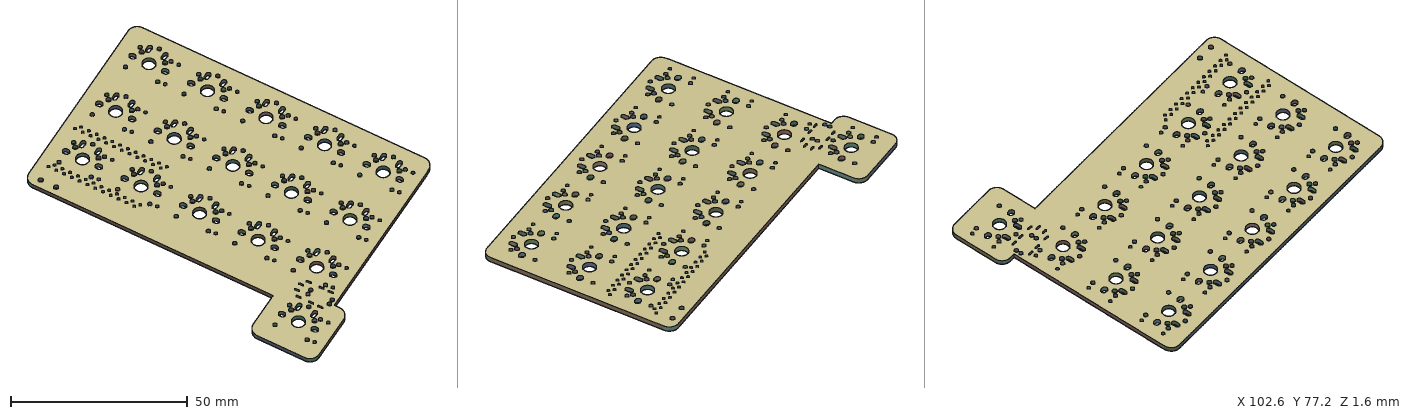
import cadquery as cq
import math

overall_width = 102.6
overall_depth = 77.2
thickness = 1.6
main_width = 97.8
main_depth = 62.9
tab_width = 21.4
tab_height = 20.0
corner_radius = 3.0
lean_inset = 0.1
lean_end_drop = 4.5

key_columns = 5
key_rows = 3
key_span = 76.2
key_pitch = key_span / (key_columns - 1)
first_key_x = 10.8
top_key_drop = 10.0
top_key_y = overall_depth - top_key_drop
thumb_key_x = overall_width - tab_width / 2
thumb_key_y = tab_height / 2

stem_diameter = 4.0
side_diameter = 1.7
side_length = 2.2
side_x = 5.3
top_pin_diameter = 1.2
top_pin_y = 5.9
outer_pin_diameter = 1.2
outer_pin_x = 5.0
outer_pin_y = 3.8
inner_pin_diameter = 1.4
inner_pin_x = 3.8
inner_pin_y = 2.6
slot_width = 1.4
slot_length = 2.6
slot_x = 2.6
slot_y = 4.5
anchor_diameter = 1.2
anchor_x = 5.2
anchor_y = -4.2
diode_diameter = 1.0
diode_x = 7.5
diode_y = 3.9

controller_diameter = 0.81
controller_pins = 12
controller_length = 27.9
controller_pitch = controller_length / (controller_pins - 1)
controller_row_gaps = 6
controller_row_spacing = controller_row_gaps * controller_pitch
controller_x = 3.7
controller_y = 22.0
controller_stagger = controller_pitch / 2

wire_diameter = 1.4
wire_x = 4.1
wire_y = 16.9
wire_spacing = 5.0

jack_y = 20.5
jack_slot_length = 1.6
jack_slot_width = 0.5
jack_outer_slots_x = (87.6, 91.7, 94.7)
jack_outer_offset = 3.0
jack_inner_slot_x = 86.0
jack_inner_offset = 1.1
peg_diameter = 1.2
pegs_x = (89.4, 96.4)
peg_offset = 0.8


def draw_outline():
    diagonal = corner_radius * (1 - math.sqrt(0.5))
    tab_left = overall_width - tab_width
    main_bottom = overall_depth - main_depth
    lean_x = main_width - lean_inset

    def round_to(outline, corner_x, corner_y, inward_x, inward_y, end):
        middle = (corner_x + inward_x * diagonal, corner_y + inward_y * diagonal)
        return outline.threePointArc(middle, end)

    r = corner_radius
    top, right = overall_depth, overall_width
    outline = cq.Workplane("XY").moveTo(r, main_bottom).lineTo(tab_left, main_bottom).lineTo(tab_left, r)
    outline = round_to(outline, tab_left, 0, 1, 1, (tab_left + r, 0)).lineTo(right - r, 0)
    outline = round_to(outline, right, 0, -1, 1, (right, r)).lineTo(right, tab_height - r)
    outline = round_to(outline, right, tab_height, -1, -1, (right - r, tab_height))
    outline = outline.lineTo(main_width, tab_height).lineTo(main_width, top - lean_end_drop)
    outline = outline.lineTo(lean_x, top - r)
    outline = round_to(outline, lean_x, top, -1, -1, (lean_x - r, top)).lineTo(r, top)
    outline = round_to(outline, 0, top, 1, -1, (0, top - r)).lineTo(0, main_bottom + r)
    return round_to(outline, 0, main_bottom, 1, 1, (r, main_bottom)).close()


def add_circles(profile, points, diameter):
    return profile.pushPoints(points).circle(diameter / 2)


def add_slots(profile, points, length, width, angle=0):
    return profile.pushPoints(points).slot2D(length, width, angle)


def around(centres, offsets):
    return [(x + dx, y + dy) for x, y in centres for dx, dy in offsets]


def both_sides(x, y):
    return [(-x, y), (x, y)]


def add_switches(profile):
    keys = [
        (first_key_x + column * key_pitch, top_key_y - row * key_pitch)
        for column in range(key_columns)
        for row in range(key_rows)
    ]
    keys.append((thumb_key_x, thumb_key_y))
    profile = add_circles(profile, keys, stem_diameter)
    profile = add_slots(profile, around(keys, both_sides(side_x, 0)), side_length, side_diameter)
    profile = add_circles(profile, around(keys, [(0, top_pin_y)]), top_pin_diameter)
    profile = add_circles(profile, around(keys, both_sides(outer_pin_x, outer_pin_y)), outer_pin_diameter)
    profile = add_circles(profile, around(keys, both_sides(inner_pin_x, inner_pin_y)), inner_pin_diameter)
    profile = add_slots(profile, around(keys, both_sides(slot_x, slot_y)), slot_length, slot_width, 90)
    profile = add_circles(profile, around(keys, both_sides(anchor_x, anchor_y)), anchor_diameter)
    return add_circles(profile, around(keys, [(diode_x, diode_y), (diode_x, -diode_y)]), diode_diameter)


def add_controller(profile):
    pins = [
        (controller_x + pin * controller_pitch, controller_y + row * controller_row_spacing)
        for pin in range(controller_pins)
        for row in range(2)
    ]
    staggered = around(pins, [(0, 0), (controller_stagger, controller_stagger)])
    return add_circles(profile, staggered, controller_diameter)


def add_wire_holes(profile):
    return add_circles(profile, [(wire_x, wire_y), (wire_x + wire_spacing, wire_y)], wire_diameter)


def add_jack(profile):
    slots = []
    pegs = []
    for side in (-1, 1):
        slots += [(x, jack_y + side * jack_outer_offset) for x in jack_outer_slots_x]
        slots.append((jack_inner_slot_x, jack_y + side * jack_inner_offset))
        pegs += [(x, jack_y + side * peg_offset) for x in pegs_x]
    profile = add_slots(profile, slots, jack_slot_length, jack_slot_width)
    return add_circles(profile, pegs, peg_diameter)


profile = draw_outline()
profile = add_switches(profile)
profile = add_controller(profile)
profile = add_wire_holes(profile)
profile = add_jack(profile)
result = profile.extrude(thickness)